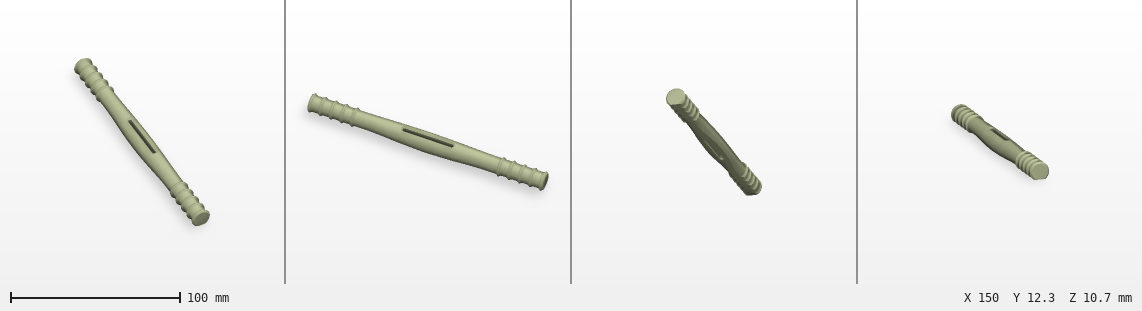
import math

import cadquery as cq

length = 150.0
half_length = length / 2
flat_depth = 4.6

grip_length = 33.0
grip_radius = 5.0
rib_radius = 6.0
rib_count = 5
rib_pitch = 6.75
first_rib_inset = 1.25
flank_angle = math.radians(42)
root_fillet = 1.8
crest_fillet = 0.5

middle_radius = 6.15
middle_drop = 0.6
middle_length = 6.0
taper_steps = 6

slot_width = 2.25
slot_center_distance = 30.0
slot_chamfer = 1.0

taper_start = half_length - grip_length
middle_half = middle_length / 2
cutter_size = 2 * length


def rib_offsets():
    """Axial distance and radius of the points along one side of a rib, crest to root."""
    sin_a = math.sin(flank_angle)
    cos_a = math.cos(flank_angle)
    sin_half = math.sin(flank_angle / 2)
    cos_half = math.cos(flank_angle / 2)
    crest_end = (crest_fillet * sin_a, rib_radius - crest_fillet * (1 - cos_a))
    flank_foot_radius = grip_radius + root_fillet * (1 - cos_a)
    flank_run = (crest_end[1] - flank_foot_radius) / math.tan(flank_angle)
    flank_foot = (crest_end[0] + flank_run, flank_foot_radius)
    root_end = (flank_foot[0] + root_fillet * sin_a, grip_radius)
    root_mid = (root_end[0] - root_fillet * sin_half, grip_radius + root_fillet * (1 - cos_half))
    return crest_end, flank_foot, root_mid, root_end


def make_rib(crest_x):
    """Solid disc with a rounded crest, sloping flanks and filleted roots."""
    crest_end, flank_foot, root_mid, root_end = rib_offsets()

    def before(point):
        return (crest_x - point[0], point[1])

    def after(point):
        return (crest_x + point[0], point[1])

    return (
        cq.Workplane("XY")
        .moveTo(crest_x - root_end[0], 0)
        .lineTo(*before(root_end))
        .threePointArc(before(root_mid), before(flank_foot))
        .lineTo(*before(crest_end))
        .threePointArc((crest_x, rib_radius), after(crest_end))
        .lineTo(*after(flank_foot))
        .threePointArc(after(root_mid), after(root_end))
        .lineTo(crest_x + root_end[0], 0)
        .close()
        .revolve(360, (0, 0, 0), (1, 0, 0))
    )


def make_end_rib():
    """Outermost rib: its outer flank is a plain cone running down to the end face."""
    crest_end, flank_foot, root_mid, root_end = rib_offsets()
    crest_x = -half_length + first_rib_inset
    cone_run = first_rib_inset - crest_end[0]
    end_radius = crest_end[1] - cone_run * math.tan(flank_angle)
    return (
        cq.Workplane("XY")
        .moveTo(-half_length, 0)
        .lineTo(-half_length, end_radius)
        .lineTo(crest_x - crest_end[0], crest_end[1])
        .threePointArc((crest_x, rib_radius), (crest_x + crest_end[0], crest_end[1]))
        .lineTo(crest_x + flank_foot[0], flank_foot[1])
        .threePointArc((crest_x + root_mid[0], root_mid[1]), (crest_x + root_end[0], root_end[1]))
        .lineTo(crest_x + root_end[0], 0)
        .close()
        .revolve(360, (0, 0, 0), (1, 0, 0))
    )


def make_grip():
    """Ribbed grip at the -X end."""
    core = cq.Workplane("YZ", origin=(-half_length, 0, 0)).circle(grip_radius).extrude(grip_length)
    grip = core.union(make_end_rib())
    for index in range(1, rib_count):
        grip = grip.union(make_rib(-half_length + first_rib_inset + index * rib_pitch))
    return grip


def section_wire(x, radius, axis_z):
    """Circle at station x, split at the crown and the bottom."""
    crown = cq.Vector(x, 0, axis_z + radius)
    bottom = cq.Vector(x, 0, axis_z - radius)
    left = cq.Edge.makeThreePointArc(crown, cq.Vector(x, radius, axis_z), bottom)
    right = cq.Edge.makeThreePointArc(bottom, cq.Vector(x, -radius, axis_z), crown)
    return cq.Wire.assembleEdges([left, right])


def make_taper():
    """Swelling from the -X grip to the middle: sides follow an S-curve, the crown a parabola."""
    crown_rise = middle_radius - middle_drop - grip_radius
    wires = []
    for step in range(taper_steps + 1):
        t = step / taper_steps
        x = -taper_start + t * (taper_start - middle_half)
        radius = grip_radius + (middle_radius - grip_radius) * t * t * (3 - 2 * t)
        crown = grip_radius + crown_rise * t * (2 - t)
        wires.append(section_wire(x, radius, crown - radius))
    return cq.Workplane(obj=cq.Solid.makeLoft(wires))


def make_middle():
    """Constant round section at the center of the bar."""
    return (
        cq.Workplane("YZ", origin=(-middle_half, 0, -middle_drop))
        .circle(middle_radius)
        .extrude(middle_length)
    )


def make_bar():
    """Complete bar, with its underside cut flat."""
    half = make_grip().union(make_taper())
    bar = half.union(make_middle()).union(half.mirror("YZ"))
    flat_plane = cq.Workplane("XY", origin=(0, 0, -flat_depth))
    below_flat = flat_plane.rect(cutter_size, cutter_size).extrude(-cutter_size)
    return bar.cut(below_flat)


def cut_slot(bar):
    """Vertical through slot whose upper rim is chamfered."""
    slot_length = slot_center_distance + slot_width
    cutter = (
        cq.Workplane("XY", origin=(0, 0, -cutter_size / 2))
        .slot2D(slot_length, slot_width)
        .extrude(cutter_size)
    )
    slotted = bar.cut(cutter)
    rim_box = cq.selectors.BoxSelector(
        (-slot_length, -slot_width, grip_radius / 2),
        (slot_length, slot_width, 2 * middle_radius),
        boundingbox=True,
    )
    rim = slotted.edges(rim_box - cq.selectors.ParallelDirSelector(cq.Vector(0, 0, 1)))
    return rim.chamfer(slot_chamfer)


result = cut_slot(make_bar())